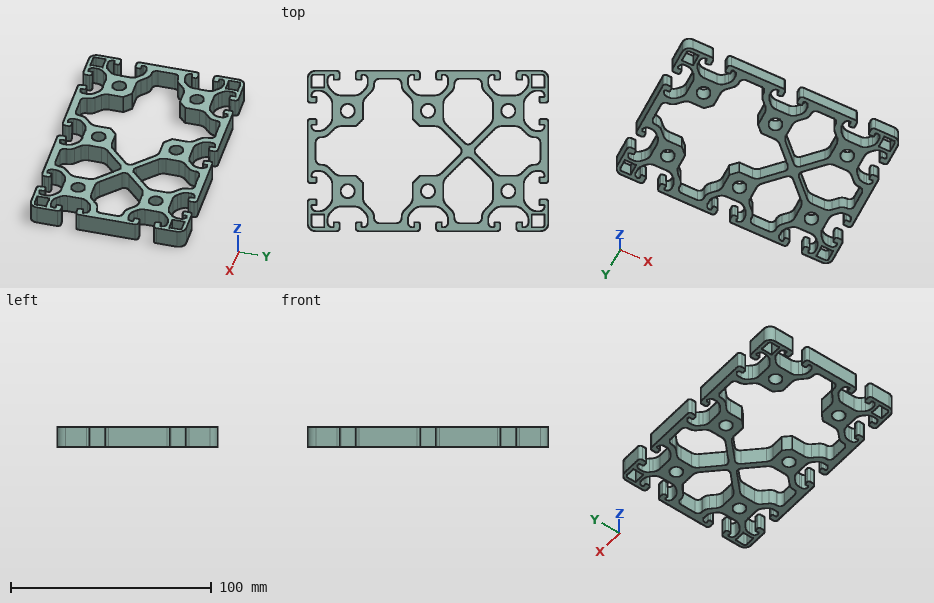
import cadquery as cq
import math

LENGTH = 120.0
COLUMNS = 3
ROWS = 2
PITCH = LENGTH / COLUMNS
HALF_CELL = PITCH / 2
WIDTH = ROWS * PITCH
THICKNESS = PITCH / 4
CORNER_RADIUS = 4.0

BORE_DIAMETER = 6.8

MOUTH_HALF = 4.0
LIP_BACK_HALF = 7.0
POCKET_HALF = 10.0
LIP_SKIN = 2.0
LIP_DEPTH = 4.5
SLOT_DEPTH = 12.2
SLOT_SLOPE_START = 7.9
LIP_OUTER_RADIUS = 1.5
LIP_TIP_RADIUS = 1.1
LIP_BACK_RADIUS = 0.5
HOOK_RADIUS = 0.5
POCKET_TOP_RADIUS = 2.3
MOUTH_CLEARANCE = 1.2

TUBE_SIZE = 6.2
TUBE_WALL = LIP_SKIN
TUBE_RADIUS = 1.1

HUB_HALF = 7.7
HUB_CHAMFER = 3.6
STRUT_OFFSET = 2.3
OUTER_WALL = 4.1
RIB_HALF = 13.2
WEB_RADIUS = 5.0
OPENING_RADIUS = 2.5

LEFT_BLOCK_X = -HALF_CELL
RIGHT_BLOCK_X = HALF_CELL


def tangent_arc(before, corner, after, radius):
    """Start, middle and end of the arc that rounds the corner between its two neighbours."""
    to_before = (cq.Vector(*before) - cq.Vector(*corner)).normalized()
    to_after = (cq.Vector(*after) - cq.Vector(*corner)).normalized()
    half_angle = to_before.getAngle(to_after) / 2
    reach = radius / math.tan(half_angle)
    to_middle = radius / math.sin(half_angle) - radius
    bisector = (to_before + to_after).normalized()
    directions = ((to_before, reach), (bisector, to_middle), (to_after, reach))
    return [cq.Vector(*corner) + way * distance for way, distance in directions]


def rounded_prism(corners):
    """Prism through the plate from (x, y, corner radius) entries; radius 0 keeps a sharp corner."""
    points = [(x, y) for x, y, _ in corners]
    first_x, first_y = points[0]
    last_x, last_y = points[-1]
    outline = cq.Workplane("XY").moveTo((first_x + last_x) / 2, (first_y + last_y) / 2)
    for i, (x, y, radius) in enumerate(corners):
        if radius == 0:
            outline = outline.lineTo(x, y)
            continue
        following = points[(i + 1) % len(points)]
        start, middle, end = tangent_arc(points[i - 1], points[i], following, radius)
        outline = outline.lineTo(start.x, start.y)
        outline = outline.threePointArc((middle.x, middle.y), (end.x, end.y))
    return outline.close().extrude(THICKNESS)


def mirrored(half):
    """Close a half outline with its mirror image in X; corners on the mirror line are not doubled."""
    return half + [(-x, y, radius) for x, y, radius in reversed(half) if x != 0]


def make_slot():
    """T-slot cutter with its mouth on the X axis, cutting towards -Y."""
    slope_end_half = POCKET_HALF - (SLOT_DEPTH - SLOT_SLOPE_START)
    shoulder = MOUTH_HALF + 2 * LIP_OUTER_RADIUS
    half = [
        (shoulder, MOUTH_CLEARANCE, 0),
        (shoulder, 0, 0),
        (MOUTH_HALF, 0, LIP_OUTER_RADIUS),
        (MOUTH_HALF, -LIP_DEPTH, LIP_TIP_RADIUS),
        (LIP_BACK_HALF, -LIP_DEPTH, LIP_BACK_RADIUS),
        (LIP_BACK_HALF, -LIP_SKIN, HOOK_RADIUS),
        (POCKET_HALF, -LIP_SKIN, POCKET_TOP_RADIUS),
        (POCKET_HALF, -SLOT_SLOPE_START, WEB_RADIUS),
        (slope_end_half, -SLOT_DEPTH, WEB_RADIUS),
    ]
    return rounded_prism(mirrored(half))


def make_bay():
    """Opening between two hubs, from the crossing of the struts at the origin out towards +Y."""
    hub_side = HALF_CELL - HUB_HALF
    rib_side = HALF_CELL - RIB_HALF
    hub_web_y = HALF_CELL + HUB_HALF - STRUT_OFFSET
    rib_web_y = HALF_CELL + RIB_HALF - STRUT_OFFSET
    half = [
        (rib_side, PITCH - OUTER_WALL, OPENING_RADIUS),
        (rib_side, rib_web_y, WEB_RADIUS),
        (hub_side, hub_web_y, WEB_RADIUS),
        (hub_side, hub_side + STRUT_OFFSET, WEB_RADIUS),
        (0, STRUT_OFFSET, OPENING_RADIUS),
    ]
    return rounded_prism(mirrored(half))


def make_room():
    """Space without struts in the middle of four hubs: an octagon with an arm between each pair."""
    gap = 2 * (HALF_CELL - HUB_HALF)
    octagon_size = gap + 2 * HUB_CHAMFER
    on_base = (True, True, False)
    octagon = cq.Workplane("XY").box(octagon_size, octagon_size, THICKNESS, centered=on_base)
    octagon = octagon.edges("|Z").chamfer(HUB_CHAMFER)
    arms_x = cq.Workplane("XY").box(PITCH, gap, THICKNESS, centered=on_base)
    arms_y = cq.Workplane("XY").box(gap, PITCH, THICKNESS, centered=on_base)
    return octagon.union(arms_x).union(arms_y)


def turned(body, angle):
    """Copy of the body turned counter-clockwise about the Z axis."""
    return body.rotate((0, 0, 0), (0, 0, 1), angle)


def cell_centres(count):
    """Positions of a row of cells along one axis, centred on zero."""
    return [(i - (count - 1) / 2) * PITCH for i in range(count)]


plate = cq.Workplane("XY").rect(LENGTH, WIDTH).extrude(THICKNESS)
plate = plate.edges("|Z").fillet(CORNER_RADIUS)

hub_places = [(x, y) for x in cell_centres(COLUMNS) for y in cell_centres(ROWS)]
bores = cq.Workplane("XY").pushPoints(hub_places).circle(BORE_DIAMETER / 2).extrude(THICKNESS)
plate = plate.cut(bores)

slot = make_slot()
for x in cell_centres(COLUMNS):
    plate = plate.cut(slot.translate((x, WIDTH / 2, 0)))
    plate = plate.cut(turned(slot, 180).translate((x, -WIDTH / 2, 0)))
for y in cell_centres(ROWS):
    plate = plate.cut(turned(slot, 90).translate((-LENGTH / 2, y, 0)))
    plate = plate.cut(turned(slot, -90).translate((LENGTH / 2, y, 0)))

tube_x = LENGTH / 2 - TUBE_WALL - TUBE_SIZE / 2
tube_y = WIDTH / 2 - TUBE_WALL - TUBE_SIZE / 2
tube = cq.Workplane("XY").rect(TUBE_SIZE, TUBE_SIZE).extrude(THICKNESS)
tube = tube.edges("|Z and >X and >Y").fillet(TUBE_RADIUS)
for side_x, side_y, angle in ((1, 1, 0), (-1, 1, 90), (-1, -1, 180), (1, -1, 270)):
    plate = plate.cut(turned(tube, angle).translate((side_x * tube_x, side_y * tube_y, 0)))

bay = make_bay()
plate = plate.cut(make_room().translate((LEFT_BLOCK_X, 0, 0)))
for angle in (0, 90, 180):
    plate = plate.cut(turned(bay, angle).translate((LEFT_BLOCK_X, 0, 0)))
for angle in (0, 90, 180, 270):
    plate = plate.cut(turned(bay, angle).translate((RIGHT_BLOCK_X, 0, 0)))

result = plate